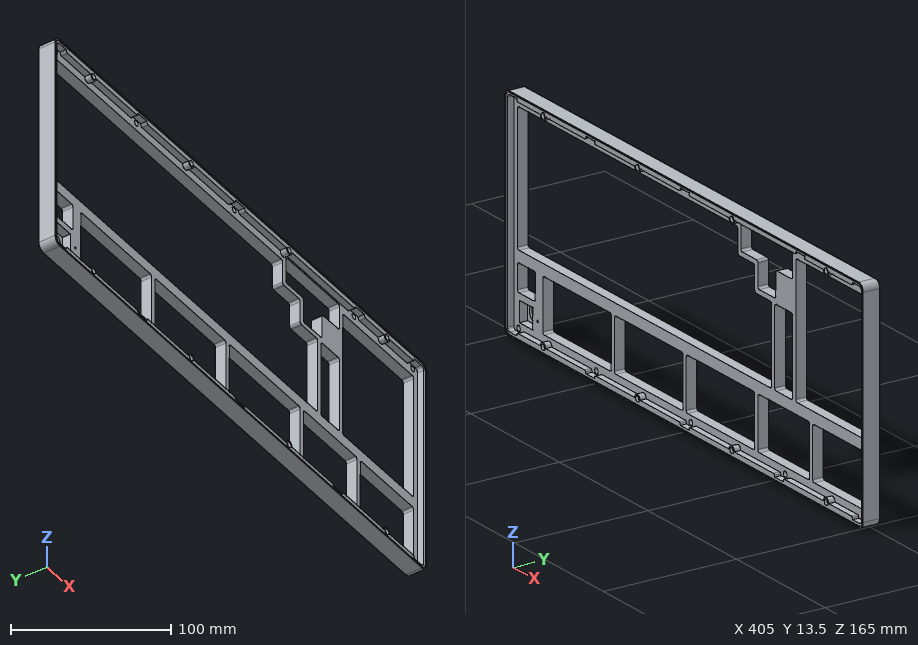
import cadquery as cq
import math

LENGTH = 405.0
DEPTH = 13.5
HEIGHT = 165.0
CORNER_RADIUS = 5.3
BACK_CHAMFER = 1.0

LIP_WIDTH = 1.0
SHELF_DEPTH = 0.55
FLOOR_DEPTH = 5.3
SHELF_INSET = 3.0
LONG_SHELF_INSET = 5.0

KEY_PITCH = 19.0
KEY_COLUMNS = 20.5
KEY_ROWS = 7.5
KEY_CLEARANCE = 0.5
KEY_DROP = 0.5
OPENING_RADIUS = 1.5

SCREW_INSET = 5.3
BOSS_SPAN = 319.5
SCREW_SPACING = BOSS_SPAN / 6
CORNER_SCREW_X = 194.5
EXTRA_TOP_SCREW_X = 130.5
SCREW_HOLE_DIAMETER = 3.9
SCREW_HOLE_DEPTH = 5.3
NOTCH_RADIUS = 5.3
FLARE_RADIUS = 1.2
BOSS_INSET = 5.0
BOSS_RADIUS = 3.05
BOSS_BORE_DIAMETER = 4.0
BOSS_BORE_DEPTH = 2.0
BOSS_PILOT_DIAMETER = 2.5
BOSS_PILOT_DEPTH = 8.0

SOCKET_X = -186.0
SOCKET_Z = -65.5
SOCKET_SIZE = 15.0
SOCKET_DEPTH = 6.0
SOCKET_BORE_DIAMETER = 11.0
PINHOLE_X = -173.0
PINHOLE_DIAMETER = 1.3
PINHOLE_DEPTH = 4.0

FRONT_Y = -DEPTH / 2
SHELF_Y = FRONT_Y + SHELF_DEPTH
FLOOR_Y = FRONT_Y + FLOOR_DEPTH
POCKET_DEPTH = FLOOR_DEPTH - SHELF_DEPTH
SCREW_Z = HEIGHT / 2 - SCREW_INSET
BOSS_Z = HEIGHT / 2 - BOSS_INSET
SHELF_EDGE_Z = HEIGHT / 2 - LONG_SHELF_INSET


def plane_at(y):
    """Sketch plane at depth y: local axes X and Z, extruding toward +Y for negative lengths."""
    return cq.Workplane("XZ", origin=(0, y, 0))


def block(width, height, y, depth):
    """Block centred in X and Z that runs from y toward +Y."""
    return plane_at(y).rect(width, height).extrude(-depth)


def cylinders(points, diameter, y, depth):
    """Round bars along Y at the given (x, z) points."""
    return plane_at(y).pushPoints(points).circle(diameter / 2).extrude(-depth)


def key_area(left, right, top, bottom):
    """Prism through the part over a span of key columns and rows, grown by the clearance."""
    width = (right - left) * KEY_PITCH + 2 * KEY_CLEARANCE
    height = (bottom - top) * KEY_PITCH + 2 * KEY_CLEARANCE
    x = ((left + right) - KEY_COLUMNS) / 2 * KEY_PITCH
    z = (KEY_ROWS - (top + bottom)) / 2 * KEY_PITCH - KEY_DROP
    return block(width, height, FRONT_Y, DEPTH).translate((x, 0, z))


def key_opening(*areas):
    """Opening joined from key areas (left, right, top, bottom), with rounded corners."""
    opening = key_area(*areas[0])
    for area in areas[1:]:
        opening = opening.union(key_area(*area))
    return opening.clean().edges("|Y").fillet(OPENING_RADIUS)


def notch(x, side):
    """Round notch at x in the top (side = 1) or bottom (side = -1) shelf edge, flared into the edge."""
    flare_z = SHELF_EDGE_Z + FLARE_RADIUS
    flare_x = math.sqrt((NOTCH_RADIUS + FLARE_RADIUS) ** 2 - (flare_z - SCREW_Z) ** 2)
    start_angle = -math.pi / 2
    end_angle = math.atan2(SCREW_Z - flare_z, -flare_x)
    middle_angle = (start_angle + end_angle) / 2

    def on_flare(angle, mirror):
        offset_x = flare_x + FLARE_RADIUS * math.cos(angle)
        offset_z = flare_z + FLARE_RADIUS * math.sin(angle)
        return (x + mirror * offset_x, side * offset_z)

    return (
        plane_at(SHELF_Y)
        .moveTo(*on_flare(start_angle, 1))
        .threePointArc(on_flare(middle_angle, 1), on_flare(end_angle, 1))
        .threePointArc((x, side * (SCREW_Z + NOTCH_RADIUS)), on_flare(end_angle, -1))
        .threePointArc(on_flare(middle_angle, -1), on_flare(start_angle, -1))
        .lineTo(x, side * (SHELF_EDGE_Z - FLARE_RADIUS))
        .close()
        .extrude(-POCKET_DEPTH)
    )


top_hole_x = [-CORNER_SCREW_X, -2 * SCREW_SPACING, 0, EXTRA_TOP_SCREW_X, CORNER_SCREW_X]
bottom_hole_x = [-CORNER_SCREW_X, -2 * SCREW_SPACING, 0, 2 * SCREW_SPACING, CORNER_SCREW_X]
hole_points = [(x, SCREW_Z) for x in top_hole_x] + [(x, -SCREW_Z) for x in bottom_hole_x]
boss_points = [(i * SCREW_SPACING, side * BOSS_Z) for i in (-3, -1, 1, 3) for side in (-1, 1)]

body = block(LENGTH, HEIGHT, FRONT_Y, DEPTH).edges("|Y").fillet(CORNER_RADIUS)
body = body.faces(">Y").chamfer(BACK_CHAMFER)

recess = block(LENGTH - 2 * LIP_WIDTH, HEIGHT - 2 * LIP_WIDTH, FRONT_Y, SHELF_DEPTH)
body = body.cut(recess.edges("|Y").fillet(CORNER_RADIUS - LIP_WIDTH))

pocket_limit = block(LENGTH - 2 * SHELF_INSET, HEIGHT - 2 * SHELF_INSET, SHELF_Y, POCKET_DEPTH)
pocket_limit = pocket_limit.edges("|Y").fillet(CORNER_RADIUS - SHELF_INSET)
pocket = block(LENGTH - 2 * SHELF_INSET, 2 * SHELF_EDGE_Z, SHELF_Y, POCKET_DEPTH)
for x, z in hole_points:
    pocket = pocket.union(notch(x, math.copysign(1, z)))
pocket = pocket.intersect(pocket_limit)
pocket = pocket.cut(cylinders(boss_points, 2 * BOSS_RADIUS, SHELF_Y, POCKET_DEPTH))
body = body.cut(pocket)

body = body.cut(cylinders(hole_points, SCREW_HOLE_DIAMETER, FLOOR_Y, SCREW_HOLE_DEPTH))
body = body.cut(cylinders(boss_points, BOSS_BORE_DIAMETER, SHELF_Y, BOSS_BORE_DEPTH))
body = body.cut(cylinders(boss_points, BOSS_PILOT_DIAMETER, SHELF_Y, BOSS_PILOT_DEPTH))

openings = [
    key_opening((0, 13, 0, 5), (0, 14, 1, 5), (0, 15, 2, 5)),
    key_opening((13.25, 16.25, -0.25, 0.75), (14.25, 15.25, -0.25, 1.75)),
    key_opening((15.25, 16.25, 2, 5)),
    key_opening((16.5, 20.5, 0, 5)),
    key_opening((0, 1, 5.5, 6.5)),
]
for left, right in [(1.5, 5.5), (5.75, 9.75), (10, 14), (14.25, 17.25), (17.5, 20.5)]:
    openings.append(key_opening((left, right, 5.5, 7.5)))
for opening in openings:
    body = body.cut(opening)

socket = block(SOCKET_SIZE, SOCKET_SIZE, FLOOR_Y, SOCKET_DEPTH).translate((SOCKET_X, 0, SOCKET_Z))
body = body.cut(socket)
body = body.cut(cylinders([(SOCKET_X, SOCKET_Z)], SOCKET_BORE_DIAMETER, FLOOR_Y, DEPTH))
body = body.cut(cylinders([(PINHOLE_X, SOCKET_Z)], PINHOLE_DIAMETER, FLOOR_Y, PINHOLE_DEPTH))

result = body